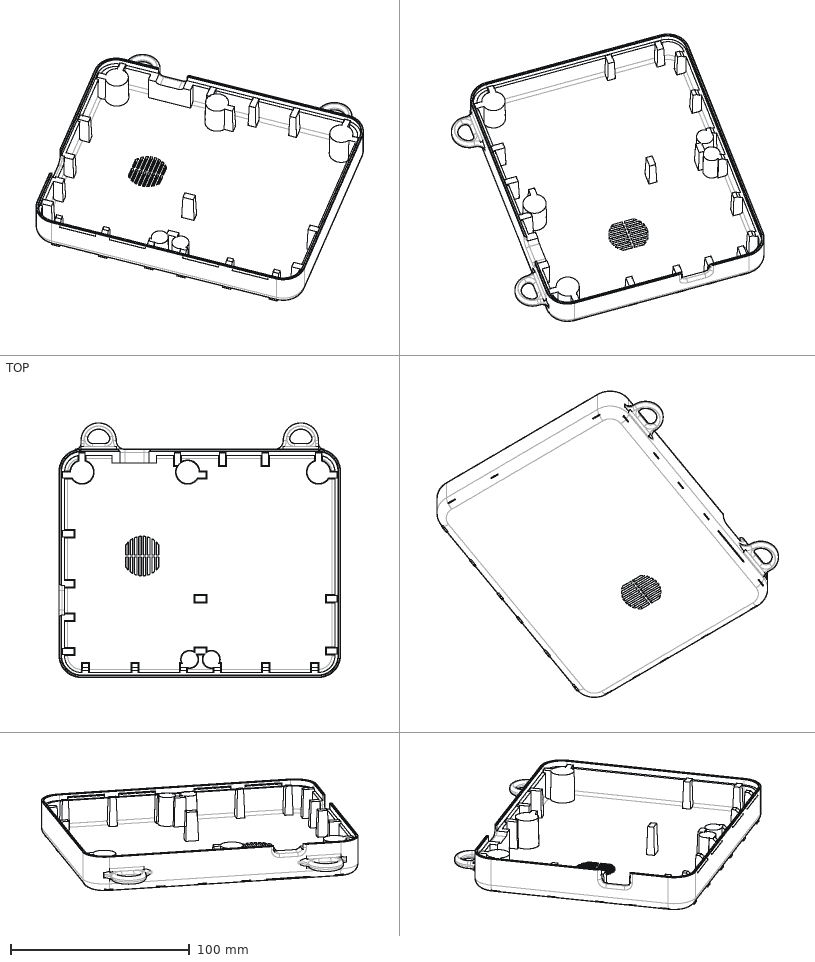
import cadquery as cq
import math

length = 157.6
width = 127.8
height = 21.1
corner_radius = 12.5
bottom_radius = 5.2
side_wall = 3.2
front_wall = 2.8
back_wall = 3.5
floor = 2.5
cavity_corner_radius = corner_radius - side_wall
cavity_bottom_radius = 1.7
rim_wall = 1.4
ledge_z = 17.7
rim_chamfer = 0.3

half_length = length / 2
half_width = width / 2
inner_x = half_length - side_wall
inner_back_y = half_width - back_wall
inner_front_y = -half_width + front_wall
rim_y = half_width - rim_wall

root_z = floor / 2
support_z = 19.2
wall_rib_z = 18.5
rib_width = 4.7
support_taper = 2.0
boss_taper = 1.0
left_rib_end = -69.8
right_rib_end = 70.5
back_rib_end = 54.2
front_rib_end = -55.5
front_shelf_end = -60.0
front_slope = 1.7
front_rib_xs = (-64.0, -36.2, -9.1, 9.8, 36.9, 64.3)
back_rib_xs = (-12.5, 12.8, 36.7)
tall_left_rib_ys = (16.5, -49.3)
opening_rib_ys = (-11.3, -30.1)
right_rib_ys = (-19.9, -49.0)
post_length = 7.4
post_x = 0.3
post_ys = (49.5, -19.9, -49.0)
back_boss_radius = 6.8
back_boss_y = 51.0
back_boss_xs = (-65.9, -6.8, 66.5)
boss_rib_y = 49.5
front_boss_radius = 5.0
front_boss_y = -53.7
front_boss_xs = (-5.7, 6.5)

opening_flat = 10.7
opening_corner = 3.0
opening_flare = 1.7
side_opening_y = -20.6
side_opening_z = 12.3
back_opening_x = -36.5
back_opening_z = 15.9
pad_length = 24.9
pad_y = 56.3

grille_x = -32.2
grille_y = 4.1
grille_radius = 11.0
slot_count = 8
slot_pitch = 2.45
slot_width = 1.3
grille_bridge = 1.3

ear_x = 56.5
ear_y = 68.7
ear_radius = 10.0
ear_hole_radius = 6.3
ear_hole_floor = 67.1
ear_hole_corner = 2.7
ear_z = 10.4
ear_thickness = 4.4
ear_edge_radius = 1.7
ear_inner_flare = 4.7
ear_outer_flare = 3.2
ear_cove = 1.4

groove_length = 21.1
groove_xs = (-50.9, -21.6, 21.6, 50.9)
groove_z = 18.6
groove_half_height = groove_z - ledge_z
groove_breakthrough = 0.06


def box(x_low, x_high, y_low, y_high, z_low, z_high):
    corner = cq.Vector(x_low, y_low, z_low)
    return cq.Workplane(cq.Solid.makeBox(x_high - x_low, y_high - y_low, z_high - z_low, corner))


def rounded_block(half_x, y_low, y_high, z_low, radius):
    """Block from a given level up to the rim, with rounded vertical corners."""
    return box(-half_x, half_x, y_low, y_high, z_low, height).edges("|Z").fillet(radius)


def make_shell():
    outer = rounded_block(half_length, -half_width, half_width, 0, corner_radius)
    outer = outer.faces("<Z").edges().fillet(bottom_radius)
    cavity = rounded_block(inner_x, inner_front_y, inner_back_y, floor, cavity_corner_radius)
    cavity = cavity.faces("<Z").edges().fillet(cavity_bottom_radius)
    rim_recess = rounded_block(half_length - rim_wall, -rim_y, rim_y, ledge_z, corner_radius - rim_wall)
    shell = outer.cut(cavity).cut(rim_recess)
    return shell.faces(">Z").edges().chamfer(rim_chamfer)


def tapered_post(x_low, x_high, y_low, y_high, top_z):
    """Post whose four sides lean inwards; the given sides are at its foot."""
    post = cq.Workplane("XY").workplane(offset=root_z).center((x_low + x_high) / 2, (y_low + y_high) / 2)
    return post.rect(x_high - x_low, y_high - y_low).extrude(top_z - root_z, taper=support_taper)


def centre_post(y):
    half_x = post_length / 2
    return tapered_post(post_x - half_x, post_x + half_x, y - rib_width / 2, y + rib_width / 2, support_z)


def back_rib(x, top_z):
    return tapered_post(x - rib_width / 2, x + rib_width / 2, back_rib_end, rim_y, top_z)


def left_rib(y, top_z):
    return tapered_post(-half_length + rim_wall, left_rib_end, y - rib_width / 2, y + rib_width / 2, top_z)


def right_rib(y, top_z):
    return tapered_post(right_rib_end, half_length - rim_wall, y - rib_width / 2, y + rib_width / 2, top_z)


def front_rib(x):
    """Rib with a low shelf at the front wall and a slope up to its full height."""
    rib = tapered_post(x - rib_width / 2, x + rib_width / 2, -half_width + rim_wall / 2, front_rib_end, support_z)
    profile = [
        (-half_width, ledge_z),
        (front_shelf_end, ledge_z),
        (front_shelf_end + front_slope, support_z),
        (-half_width, support_z),
    ]
    step = cq.Workplane("YZ").workplane(offset=x - rib_width).polyline(profile).close().extrude(2 * rib_width)
    return rib.cut(step)


def boss(x, y, radius):
    foot = cq.Workplane("XY").workplane(offset=root_z).center(x, y).circle(radius)
    return foot.extrude(support_z - root_z, taper=boss_taper)


def opening_pad():
    """Thick block behind the back wall that carries the back cable opening inwards."""
    left_end = back_opening_x - pad_length / 2
    return box(left_end, left_end + pad_length, pad_y, rim_y, root_z, ledge_z)


def make_supports():
    supports = [opening_pad()]
    supports += [front_rib(x) for x in front_rib_xs]
    supports += [back_rib(x, wall_rib_z) for x in back_rib_xs]
    supports += [left_rib(y, support_z) for y in tall_left_rib_ys]
    supports += [left_rib(y, ledge_z) for y in opening_rib_ys]
    supports += [right_rib(y, wall_rib_z) for y in right_rib_ys]
    supports += [centre_post(y) for y in post_ys]
    supports += [boss(x, back_boss_y, back_boss_radius) for x in back_boss_xs]
    supports += [boss(x, front_boss_y, front_boss_radius) for x in front_boss_xs]
    supports += [back_rib(x, support_z) for x in (back_boss_xs[0], back_boss_xs[-1])]
    supports += [left_rib(boss_rib_y, support_z), right_rib(boss_rib_y, support_z)]
    return supports


def opening_cutter(bottom_z, depth):
    """Open-topped slot into a wall at Y = 0, widening in a quarter round at the outer face."""
    half = opening_flat / 2 + opening_corner
    top = 2 * height
    slot = box(-half, half, -depth, 1.5, bottom_z, top).edges("|Y").edges("<Z").fillet(opening_corner)
    slab = box(-2 * half, 2 * half, 0, 1.5, -height, top)
    mouth_low = (-half - 1.5, -0.2, bottom_z - 1.5)
    mouth_high = (half + 1.5, 0.2, top - 1.5)
    mouth = cq.selectors.BoxSelector(mouth_low, mouth_high)
    return slab.union(slot).edges(mouth).fillet(opening_flare)


def cut_openings(tray):
    side_cutter = opening_cutter(side_opening_z, side_wall).rotate((0, 0, 0), (0, 0, 1), 90)
    back_cutter = opening_cutter(back_opening_z, half_width - pad_y)
    tray = tray.cut(side_cutter.translate((-half_length, side_opening_y, 0)))
    return tray.cut(back_cutter.translate((back_opening_x, half_width, 0)))


def grille_cutter():
    """Row of slots trimmed to a circle and interrupted by a bridge across the middle."""
    centre = cq.Workplane("XY").center(grille_x, grille_y)
    disc = centre.circle(grille_radius).extrude(floor)
    slots = centre.rarray(slot_pitch, 1.5, slot_count, 1).rect(slot_width, 2 * grille_radius).extrude(floor)
    bridge = centre.rect(2 * grille_radius, grille_bridge).extrude(floor)
    return slots.intersect(disc).cut(bridge)


def snap_groove(x):
    """V-shaped groove running along the inside of the front rim."""
    profile = [
        (-rim_y, groove_z - groove_half_height),
        (-rim_y, groove_z + groove_half_height),
        (-half_width - groove_breakthrough, groove_z),
    ]
    groove = cq.Workplane("YZ").workplane(offset=x - groove_length / 2)
    return groove.polyline(profile).close().extrude(groove_length)


def ear_plate():
    """Flat loop outline that flares out to meet the back wall."""
    root_y = half_width - back_wall / 2
    inner_end = ear_radius + ear_inner_flare
    outer_end = ear_radius + ear_outer_flare
    inner_bend = ear_inner_flare * (1 - math.sqrt(0.5))
    outer_bend = ear_outer_flare * (1 - math.sqrt(0.5))
    outline = (
        cq.Workplane("XY")
        .moveTo(-outer_end, root_y)
        .lineTo(-outer_end, half_width)
        .threePointArc((-ear_radius - outer_bend, half_width + outer_bend), (-ear_radius, half_width + ear_outer_flare))
        .lineTo(-ear_radius, ear_y)
        .threePointArc((0, ear_y + ear_radius), (ear_radius, ear_y))
        .lineTo(ear_radius, half_width + ear_inner_flare)
        .threePointArc((ear_radius + inner_bend, half_width + inner_bend), (inner_end, half_width))
        .lineTo(inner_end, root_y)
        .close()
    )
    return outline.extrude(ear_thickness)


def ear_hole():
    """Round hole with a flat floor towards the back wall."""
    hole = cq.Workplane("XY").center(0, ear_y).circle(ear_hole_radius).extrude(ear_thickness)
    hole = hole.cut(box(-ear_radius, ear_radius, 0, ear_hole_floor, 0, ear_thickness))
    return hole.edges("|Z").fillet(ear_hole_corner)


def ear_coves():
    """Block with hollow-rounded top and bottom where the ear meets the back wall."""
    root_y = half_width - back_wall / 2
    tip_y = half_width + ear_cove
    bend = ear_cove * (1 - math.sqrt(0.5))
    profile = (
        cq.Workplane("YZ")
        .workplane(offset=-ear_radius)
        .moveTo(root_y, -ear_cove)
        .lineTo(half_width, -ear_cove)
        .threePointArc((half_width + bend, -bend), (tip_y, 0))
        .lineTo(tip_y, ear_thickness)
        .threePointArc((half_width + bend, ear_thickness + bend), (half_width, ear_thickness + ear_cove))
        .lineTo(root_y, ear_thickness + ear_cove)
        .close()
    )
    return profile.extrude(2 * ear_radius)


def make_ear(side):
    """Strap loop on the back wall; side is -1 for left and 1 for right."""
    ear = ear_plate().cut(ear_hole())
    loop_low = (-ear_radius - 1.5, ear_hole_floor - 0.2, -1.5)
    loop_high = (ear_radius + 1.5, ear_y + ear_radius + 1.5, ear_thickness + 1.5)
    loop_edges = cq.selectors.BoxSelector(loop_low, loop_high)
    ear = ear.edges(loop_edges).edges("not |Z").fillet(ear_edge_radius)
    ear = ear.union(ear_coves())
    if side > 0:
        ear = ear.mirror("YZ")
    return ear.translate((side * ear_x, 0, ear_z - ear_thickness / 2))


tray = make_shell()
for x in groove_xs:
    tray = tray.cut(snap_groove(x))
for support in make_supports():
    tray = tray.union(support)
tray = cut_openings(tray)
tray = tray.cut(grille_cutter())
for side in (-1, 1):
    tray = tray.union(make_ear(side))

result = tray